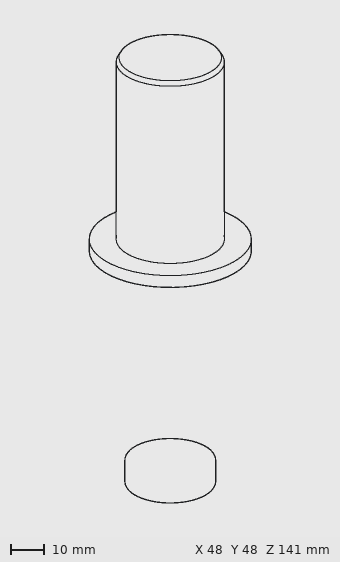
import cadquery as cq

total_height = 141.0

flange_diameter = 48.0
flange_thickness = 4.0
shaft_diameter = 32.0
pin_height = 64.0
chamfer_height = 1.4
chamfer_inset = 0.8

disc_diameter = 27.0
disc_thickness = 8.5
disc_rim_radius = 0.8


def make_pin():
    """Solid shaft standing on a thin round flange, with a steep chamfer at its top end."""
    base_z = total_height - pin_height
    shaft_radius = shaft_diameter / 2
    flange_radius = flange_diameter / 2
    half_section = [
        (0, base_z),
        (flange_radius, base_z),
        (flange_radius, base_z + flange_thickness),
        (shaft_radius, base_z + flange_thickness),
        (shaft_radius, total_height - chamfer_height),
        (shaft_radius - chamfer_inset, total_height),
        (0, total_height),
    ]
    return cq.Workplane("XZ").polyline(half_section).close().revolve(360, (0, 0, 0), (0, 1, 0))


def make_disc():
    """Short round disc resting on Z = 0, rounded on both rims."""
    return (
        cq.Workplane("XY")
        .circle(disc_diameter / 2)
        .extrude(disc_thickness)
        .faces("<Z or >Z")
        .edges()
        .fillet(disc_rim_radius)
    )


pin = make_pin()
disc = make_disc()

result = cq.Compound.makeCompound([pin.val(), disc.val()])